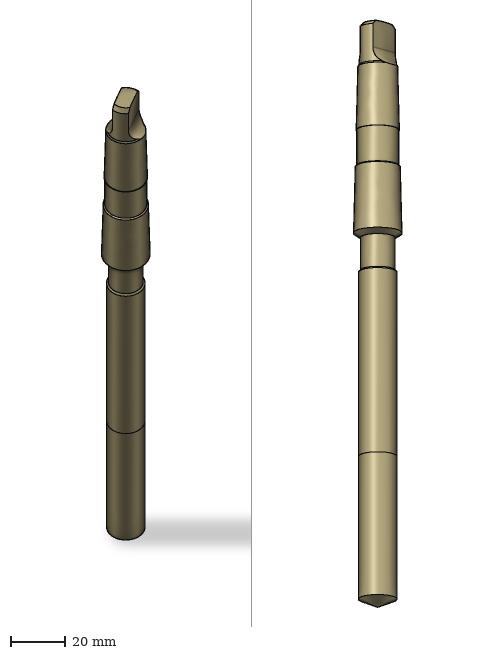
import cadquery as cq
import math

total_length = 222.2
point_height = 3.1
split_z = 57.3
shank_end_z = 127.3
collar_bottom_z = 140.5
relief_bottom_z = 167.4
relief_top_z = 181.4
tang_shoulder_z = 205.4
tang_flat_z = 211.4

drill_diameter = 14.2
neck_diameter = 13.0
collar_diameter = 18.0
relief_diameter = 15.5
tang_diameter = 14.0

taper_rate = 0.05

collar_cone_height = 1.8
relief_chamfer = 0.5
neck_cone_height = 0.7
shoulder_cone_height = 0.7

tang_thickness = 6.2
tang_angle = 20.0
tang_blend_radius = 6.7
tang_chamfer = 1.5
tang_center_rise = 0.5


def revolve_profile(points):
    """Revolve a closed (radius, height) profile about the Z axis."""
    return cq.Workplane("XZ").polyline(points).close().revolve(360, (0, 0, 0), (0, 1, 0))


def taper_radius(z):
    """Radius of the Morse taper cone at height z."""
    widest_z = collar_bottom_z + collar_cone_height
    return (collar_diameter - taper_rate * (z - widest_z)) / 2


def make_cutting_tip():
    radius = drill_diameter / 2
    return revolve_profile([(0, 0), (radius, point_height), (radius, split_z), (0, split_z)])


def make_flat_cutter():
    """Block that leaves one tang flat and its concave run-out when removed."""
    flat_x = tang_thickness / 2
    outer_x = flat_x + tang_blend_radius
    diagonal = tang_blend_radius * math.sqrt(0.5)
    arc_middle = (outer_x - diagonal, tang_flat_z - diagonal)
    return (
        cq.Workplane("XZ")
        .moveTo(flat_x, total_length)
        .lineTo(flat_x, tang_flat_z)
        .threePointArc(arc_middle, (outer_x, tang_flat_z - tang_blend_radius))
        .lineTo(outer_x, total_length)
        .close()
        .extrude(tang_diameter, both=True)
    )


def make_shank():
    drill_radius = drill_diameter / 2
    neck_radius = neck_diameter / 2
    relief_radius = relief_diameter / 2
    tang_radius = tang_diameter / 2
    collar_radius = collar_diameter / 2
    tang_rim_z = total_length - tang_center_rise
    shank = revolve_profile([
        (0, split_z),
        (drill_radius, split_z),
        (drill_radius, shank_end_z),
        (neck_radius, shank_end_z + neck_cone_height),
        (neck_radius, collar_bottom_z),
        (collar_radius, collar_bottom_z + collar_cone_height),
        (taper_radius(relief_bottom_z), relief_bottom_z),
        (relief_radius, relief_bottom_z + relief_chamfer),
        (relief_radius, relief_top_z),
        (taper_radius(relief_top_z), relief_top_z),
        (taper_radius(tang_shoulder_z), tang_shoulder_z),
        (tang_radius, tang_shoulder_z + shoulder_cone_height),
        (tang_radius, tang_rim_z - tang_chamfer),
        (tang_radius - tang_chamfer, tang_rim_z),
        (0, total_length),
    ])
    for side_angle in (0, 180):
        cutter = make_flat_cutter().rotate((0, 0, 0), (0, 0, 1), tang_angle + side_angle)
        shank = shank.cut(cutter)
    return shank


cutting_tip = make_cutting_tip()
shank = make_shank()

result = cq.Compound.makeCompound([cutting_tip.val(), shank.val()])